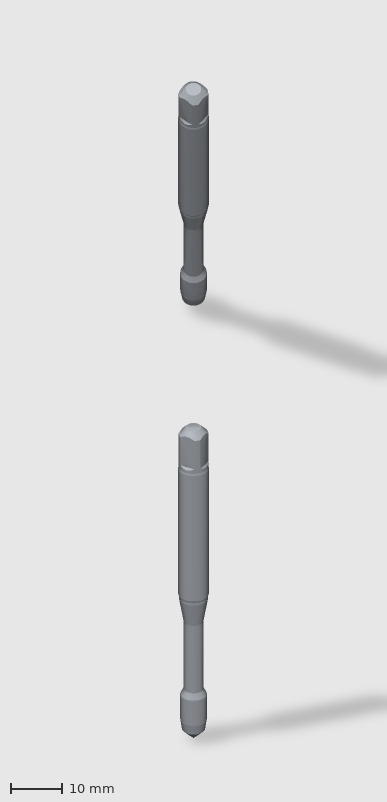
import cadquery as cq


overall_length = 72.3
flat_bottom_z = 64.3
drive_bottom_z = 63.25
shank_top_z = 62.8
shank_bottom_z = 33.6
collar_top_z = 33.25
taper_top_z = 32.6
taper_bottom_z = 27.3
neck_bottom_z = 11.65
head_top_z = 10.3
lead_top_z = 4.5

shank_diameter = 6.0
drive_diameter = 5.8
collar_diameter = 5.7
neck_diameter = 3.9
head_diameter = 5.2
lead_diameter = 4.55
drive_end_diameter = 3.0
across_flats = 4.9

end_chamfer_height = (drive_diameter - drive_end_diameter) / 2
point_height = lead_diameter / 2


def revolved(profile, bottom_z):
    """Revolve (diameter, height) stations around Z; the outline starts on the axis at bottom_z."""
    top_z = profile[-1][1]
    outline = [(0, bottom_z)]
    outline += [(diameter / 2, z) for diameter, z in profile]
    outline += [(0, top_z)]
    return cq.Workplane("XZ").polyline(outline).close().revolve(360, (0, 0), (0, 1))


def drive_flat_cutter():
    """Wedge that cuts the +X drive flat and the ramp running out below it."""
    flat_x = across_flats / 2
    outer_x = shank_diameter
    ramp_drop = outer_x - flat_x
    return (
        cq.Workplane("XZ")
        .moveTo(flat_x, overall_length)
        .lineTo(flat_x, flat_bottom_z)
        .lineTo(outer_x, flat_bottom_z - ramp_drop)
        .lineTo(outer_x, overall_length)
        .close()
        .extrude(shank_diameter / 2, both=True)
    )


def make_shank():
    """Shank with the square drive on top and the tapered neck below."""
    shank = revolved([
        (head_diameter, head_top_z),
        (neck_diameter, neck_bottom_z),
        (neck_diameter, taper_bottom_z),
        (collar_diameter, taper_top_z),
        (collar_diameter, collar_top_z),
        (shank_diameter, shank_bottom_z),
        (shank_diameter, shank_top_z),
        (drive_diameter, drive_bottom_z),
        (drive_diameter, overall_length - end_chamfer_height),
        (drive_end_diameter, overall_length),
    ], bottom_z=head_top_z)
    for angle in (0, 90, 180, 270):
        shank = shank.cut(drive_flat_cutter().rotate((0, 0, 0), (0, 0, 1), angle))
    return shank


def make_head():
    """Working head: full-width cylinder, lead taper and conical point."""
    return revolved([
        (lead_diameter, point_height),
        (head_diameter, lead_top_z),
        (head_diameter, head_top_z),
    ], bottom_z=0)


shank = make_shank()
head = make_head()
result = cq.Compound.makeCompound([shank.val(), head.val()])